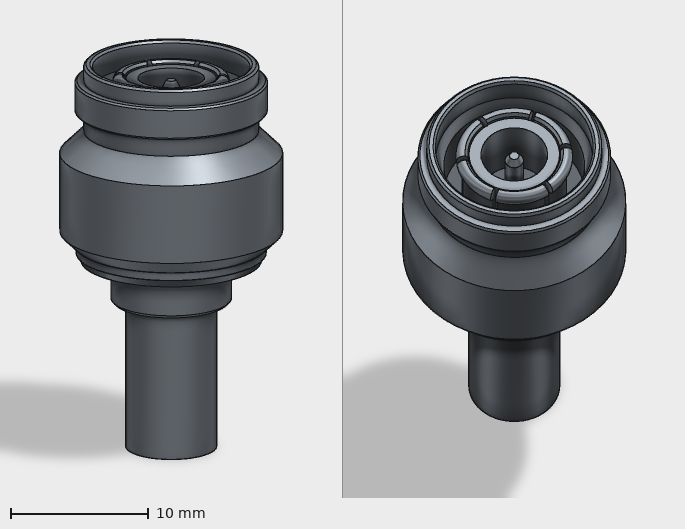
import cadquery as cq

TOTAL_HEIGHT = 29.05
TUBE_RADIUS = 3.3

SLEEVE_BOTTOM = 11.05
SLEEVE_RADIUS = 4.4
SLEEVE_CHAMFER = 0.23

FLANGE_BOTTOM = 14.15
FLANGE_BOTTOM_RADIUS = 6.57
FLANGE_EDGE_HEIGHT = 14.73
FLANGE_EDGE_RADIUS = 6.8
FLANGE_RADIUS = 6.9

BODY_CONE_BOTTOM = 15.35
BODY_CONE_BOTTOM_RADIUS = 7.0
BODY_BOTTOM = 16.4
BODY_TOP = 22.3
BODY_RADIUS = 8.1

NECK_BOTTOM = 24.02
NECK_RADIUS = 6.35
RING_BOTTOM = 25.45
RING_TOP = 27.83
RING_RADIUS = 7.0
RING_CHAMFER = 0.15
RIM_CHAMFER = 0.17

MOUTH_RADIUS = 5.72
MOUTH_DEPTH = 1.83
WELL_RADIUS = 5.1
WELL_CONE_DROP = 0.6
WELL_FLOOR = 23.25

CORE_RADIUS = 3.28
CORE_TOP = 28.0
BORE_RADIUS = 2.4

FINGER_RADIUS = 4.25
FINGER_TOP = 28.3
FINGER_BORE_RADIUS = 3.37
FINGER_CHAMFER = 0.2
BEAD_HALF_HEIGHT = 0.52
BEAD_BULGE = 0.45
SLOT_WIDTH = 0.38
SLOT_COUNT = 6

PIN_RADIUS = 0.67
PIN_TIP_RADIUS = 0.35
PIN_TIP_HEIGHT = 0.58
PIN_TOP = 27.85


def revolve_profile(profile):
    """Close a half outline in the XZ plane and turn it around the Z axis."""
    return profile.close().revolve(360, (0, 0, 0), (0, 1, 0))


def make_shell():
    """Outside of the connector, solid inside."""
    return revolve_profile(
        cq.Workplane("XZ")
        .lineTo(TUBE_RADIUS, 0)
        .lineTo(TUBE_RADIUS, SLEEVE_BOTTOM)
        .lineTo(SLEEVE_RADIUS - SLEEVE_CHAMFER, SLEEVE_BOTTOM)
        .lineTo(SLEEVE_RADIUS, SLEEVE_BOTTOM + SLEEVE_CHAMFER)
        .lineTo(SLEEVE_RADIUS, FLANGE_BOTTOM)
        .lineTo(FLANGE_BOTTOM_RADIUS, FLANGE_BOTTOM)
        .lineTo(FLANGE_EDGE_RADIUS, FLANGE_EDGE_HEIGHT)
        .lineTo(FLANGE_RADIUS, FLANGE_EDGE_HEIGHT)
        .lineTo(FLANGE_RADIUS, BODY_CONE_BOTTOM)
        .lineTo(BODY_CONE_BOTTOM_RADIUS, BODY_CONE_BOTTOM)
        .lineTo(BODY_RADIUS, BODY_BOTTOM)
        .lineTo(BODY_RADIUS, BODY_TOP)
        .lineTo(NECK_RADIUS, NECK_BOTTOM)
        .lineTo(NECK_RADIUS, RING_BOTTOM)
        .lineTo(RING_RADIUS - RING_CHAMFER, RING_BOTTOM)
        .lineTo(RING_RADIUS, RING_BOTTOM + RING_CHAMFER)
        .lineTo(RING_RADIUS, RING_TOP - RING_CHAMFER)
        .lineTo(RING_RADIUS - RING_CHAMFER, RING_TOP)
        .lineTo(NECK_RADIUS, RING_TOP)
        .lineTo(NECK_RADIUS, TOTAL_HEIGHT - RIM_CHAMFER)
        .lineTo(NECK_RADIUS - RIM_CHAMFER, TOTAL_HEIGHT)
        .lineTo(0, TOTAL_HEIGHT)
    )


def make_socket():
    """Cavity opening at the front, with a chamfered mouth."""
    cone_top = TOTAL_HEIGHT - MOUTH_DEPTH
    return revolve_profile(
        cq.Workplane("XZ")
        .moveTo(0, WELL_FLOOR)
        .lineTo(WELL_RADIUS, WELL_FLOOR)
        .lineTo(WELL_RADIUS, cone_top - WELL_CONE_DROP)
        .lineTo(MOUTH_RADIUS, cone_top)
        .lineTo(MOUTH_RADIUS, TOTAL_HEIGHT - RIM_CHAMFER)
        .lineTo(MOUTH_RADIUS + RIM_CHAMFER, TOTAL_HEIGHT)
        .lineTo(0, TOTAL_HEIGHT)
    )


def make_core():
    """Tubular insulator standing on the floor of the well."""
    return (
        cq.Workplane("XY", origin=(0, 0, WELL_FLOOR))
        .circle(CORE_RADIUS)
        .circle(BORE_RADIUS)
        .extrude(CORE_TOP - WELL_FLOOR)
    )


def make_fingers():
    """Ring of spring fingers with a bulging bead at the tip, split by radial slots."""
    stem_radius = FINGER_RADIUS - BEAD_BULGE
    bead_height = FINGER_TOP - BEAD_HALF_HEIGHT
    ring = revolve_profile(
        cq.Workplane("XZ")
        .moveTo(FINGER_BORE_RADIUS, WELL_FLOOR)
        .lineTo(stem_radius, WELL_FLOOR)
        .lineTo(stem_radius, bead_height - BEAD_HALF_HEIGHT)
        .threePointArc((FINGER_RADIUS, bead_height), (stem_radius, FINGER_TOP))
        .lineTo(FINGER_BORE_RADIUS + FINGER_CHAMFER, FINGER_TOP)
        .lineTo(FINGER_BORE_RADIUS, FINGER_TOP - FINGER_CHAMFER)
    )
    slot = cq.Workplane("XY", origin=(0, 0, WELL_FLOOR)).box(
        WELL_RADIUS,
        SLOT_WIDTH,
        TOTAL_HEIGHT - WELL_FLOOR,
        centered=(False, True, False),
    )
    for index in range(SLOT_COUNT):
        slot_angle = index * 360 / SLOT_COUNT
        ring = ring.cut(slot.rotate((0, 0, 0), (0, 0, 1), slot_angle))
    return ring


def make_pin():
    """Centre contact with a blunt conical tip."""
    return revolve_profile(
        cq.Workplane("XZ")
        .moveTo(0, WELL_FLOOR)
        .lineTo(PIN_RADIUS, WELL_FLOOR)
        .lineTo(PIN_RADIUS, PIN_TOP - PIN_TIP_HEIGHT)
        .lineTo(PIN_TIP_RADIUS, PIN_TOP)
        .lineTo(0, PIN_TOP)
    )


result = make_shell().cut(make_socket())
result = result.union(make_core()).union(make_fingers()).union(make_pin())